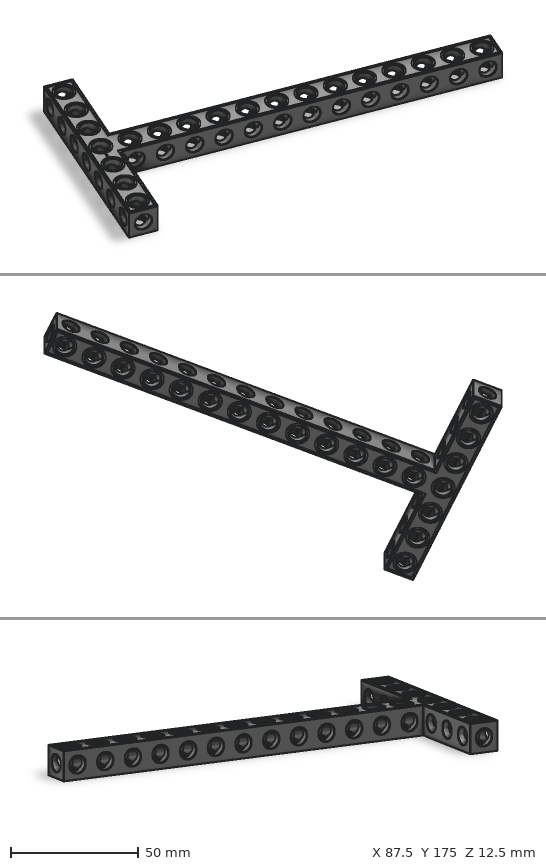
import cadquery as cq

bar_holes = 7
stem_holes = 14
total_length = 175.0
pitch = total_length / stem_holes
bar_length = bar_holes * pitch
half = pitch / 2

edge_chamfer = 0.26
hole_diameter = 7.0
hole_chamfer = 0.3
rim_width = 1.08
boss_diameter = 9.3
recess_depth = 0.2
rib_width = 0.5

bar_points = [((i - (bar_holes - 1) / 2) * pitch, half) for i in range(bar_holes)]
stem_points = [(0, half + i * pitch) for i in range(stem_holes)]
vertical_points = bar_points + stem_points[1:]


def tee(bottom, thickness, inset=0):
    """T-shaped plate, its outline moved inwards by inset."""
    plane = cq.Workplane("XY").workplane(offset=bottom)
    bar = plane.center(0, half).rect(bar_length - 2 * inset, pitch - 2 * inset).extrude(thickness)
    stem = plane.center(0, total_length / 2).rect(pitch - 2 * inset, total_length - 2 * inset)
    return bar.union(stem.extrude(thickness)).clean()


def face_recess(bottom):
    """Shallow pocket inside the rim that leaves a ring at every vertical hole."""
    rings = (
        cq.Workplane("XY")
        .workplane(offset=bottom)
        .pushPoints(vertical_points)
        .circle(boss_diameter / 2)
        .extrude(recess_depth)
    )
    return tee(bottom, recess_depth, rim_width).cut(rings)


def through_hole(start, direction, length):
    """Cutting solids for a hole with a chamfer at both ends."""
    start = cq.Vector(*start)
    direction = cq.Vector(*direction)
    end = start + direction * length
    radius = hole_diameter / 2
    mouth = radius + hole_chamfer
    return [
        cq.Solid.makeCylinder(radius, length, start, direction),
        cq.Solid.makeCone(mouth, radius, hole_chamfer, start, direction),
        cq.Solid.makeCone(mouth, radius, hole_chamfer, end, direction * -1),
    ]


body = tee(0, pitch).edges().chamfer(edge_chamfer)

body = body.cut(face_recess(0))

top_floor = pitch - recess_depth
rib = (
    cq.Workplane("XY")
    .workplane(offset=top_floor)
    .center(half, half)
    .rect(pitch, rib_width)
    .extrude(recess_depth)
)
body = body.cut(face_recess(top_floor).cut(rib))

cutters = []

for x, y in vertical_points:
    cutters += through_hole((x, y, 0), (0, 0, 1), pitch)

for x, y in bar_points:
    length = total_length if x == 0 else pitch
    cutters += through_hole((x, 0, half), (0, 1, 0), length)

for x, y in stem_points:
    length = bar_length if y == half else pitch
    cutters += through_hole((-length / 2, y, half), (1, 0, 0), length)

result = cq.Workplane(obj=body.val().cut(*cutters)).solids()